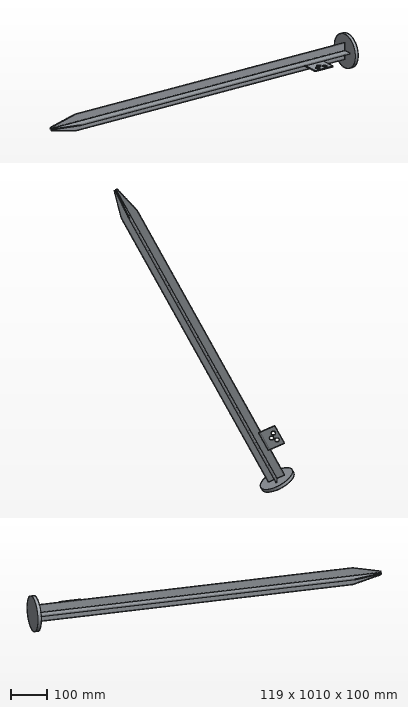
import cadquery as cq

overall_length = 1010.0
overall_width = 119.0
head_diameter = 100.0
head_thickness = 10.0

blade_width = 50.0
blade_thickness = 3.0
edge_rounding = 1.4
taper_length = 84.0
tip_width = 10.0
stake_length = overall_length - head_thickness

tab_inner_x = 19.0
tab_outer_x = overall_width - head_diameter / 2
tab_length = 61.0
tab_thickness = 3.0
tab_setback = 100.0
hole_diameter = 12.0
inner_hole_x = 44.0
outer_hole_x = 56.0
outer_hole_spacing = 23.0


def make_head():
    """Round striking plate, extruded along -Y from its outer face."""
    return cq.Workplane("XZ").circle(head_diameter / 2).extrude(head_thickness)


def make_blade():
    """Flat blade in the XY plane with rounded long edges and a tapered end."""
    half_width = blade_width / 2
    half_tip = tip_width / 2
    blade_top = -head_thickness
    tip_end = -overall_length
    taper_start = tip_end + taper_length
    bar = (
        cq.Workplane("XY")
        .box(blade_width, stake_length, blade_thickness)
        .edges("|Y")
        .fillet(edge_rounding)
        .translate((0, blade_top - stake_length / 2, 0))
    )
    outline = (
        cq.Workplane("XY")
        .moveTo(-half_width, blade_top)
        .lineTo(half_width, blade_top)
        .lineTo(half_width, taper_start)
        .lineTo(half_tip, tip_end)
        .lineTo(-half_tip, tip_end)
        .lineTo(-half_width, taper_start)
        .close()
        .extrude(blade_thickness / 2, both=True)
    )
    return bar.intersect(outline)


def make_stake():
    """Cross-section stake made of a horizontal and a vertical blade."""
    blade = make_blade()
    upright_blade = blade.rotate((0, 0, 0), (0, 1, 0), 90)
    return blade.union(upright_blade)


def make_tab():
    """Plate with a triangle of three through holes."""
    tab_width = tab_outer_x - tab_inner_x
    tab_center_x = (tab_inner_x + tab_outer_x) / 2
    tab_center_y = -tab_setback - tab_length / 2
    tab_center_z = -(blade_thickness + tab_thickness) / 2
    hole_points = [
        (inner_hole_x - tab_center_x, 0),
        (outer_hole_x - tab_center_x, outer_hole_spacing / 2),
        (outer_hole_x - tab_center_x, -outer_hole_spacing / 2),
    ]
    return (
        cq.Workplane("XY")
        .box(tab_width, tab_length, tab_thickness)
        .faces(">Z")
        .workplane()
        .pushPoints(hole_points)
        .hole(hole_diameter)
        .translate((tab_center_x, tab_center_y, tab_center_z))
    )


head = make_head()
stake = make_stake()
tab = make_tab()

result = cq.Compound.makeCompound([head.val(), stake.val(), tab.val()])